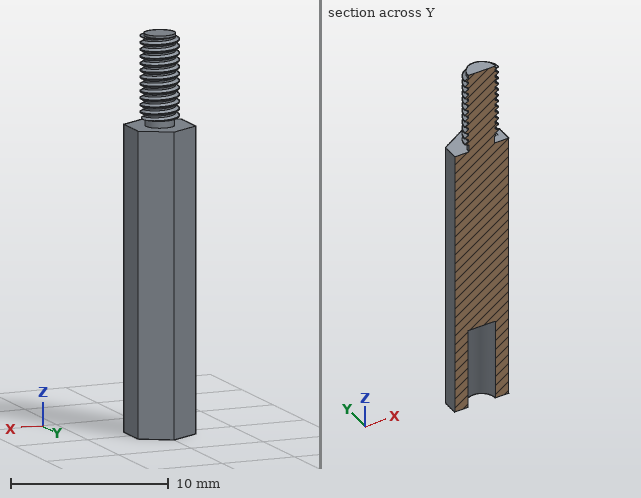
import cadquery as cq
import math

across_flats = 4.0
body_length = 20.0
hex_half_angle = 30.0

stud_length = 6.0
neck_diameter = 1.9
thread_root_diameter = 2.02
thread_crest_diameter = 2.5
thread_pitch = 0.45
thread_flank_angle = 30.0
thread_crest_width = thread_pitch / 8
neck_length = 0.5
thread_end_gap = 0.15
thread_length = stud_length - neck_length - thread_end_gap
thread_overlap = 0.1

bore_diameter = thread_root_diameter
bore_depth = stud_length


def make_body():
    """Hexagonal bar with two flats facing -X and +X."""
    across_corners = across_flats / math.cos(math.radians(hex_half_angle))
    return (
        cq.Workplane("XY")
        .transformed(rotate=(0, 0, hex_half_angle))
        .polygon(6, across_corners)
        .extrude(body_length)
    )


def make_stud_core():
    """Slim neck on the body with the thicker round core of the thread above it.

    A quarter turn moves the seam of the cylinders away from the ridge ends, where
    it would upset the union with the ridge.
    """
    neck = (
        cq.Workplane("XY")
        .workplane(offset=body_length)
        .transformed(rotate=(0, 0, 90))
        .circle(neck_diameter / 2)
        .extrude(neck_length)
    )
    return neck.faces(">Z").workplane().circle(thread_root_diameter / 2).extrude(stud_length - neck_length)


def make_thread_ridge():
    """Right-hand helical ridge, trimmed flat at both ends of the threaded length."""
    thread_start = body_length + neck_length
    inner_radius = thread_root_diameter / 2 - thread_overlap
    crest_radius = thread_crest_diameter / 2
    half_crest = thread_crest_width / 2
    half_base = half_crest + (crest_radius - inner_radius) * math.tan(math.radians(thread_flank_angle))
    helix_start = body_length
    helix_height = stud_length + thread_pitch

    helix = cq.Wire.makeHelix(
        thread_pitch, helix_height, inner_radius, center=cq.Vector(0, 0, helix_start)
    )
    ridge = (
        cq.Workplane("XZ")
        .moveTo(inner_radius, helix_start - half_base)
        .lineTo(crest_radius, helix_start - half_crest)
        .lineTo(crest_radius, helix_start + half_crest)
        .lineTo(inner_radius, helix_start + half_base)
        .close()
        .sweep(cq.Workplane(obj=helix), isFrenet=True)
    )
    trimming_envelope = (
        cq.Workplane("XY").workplane(offset=thread_start).circle(across_flats / 2).extrude(thread_length)
    )
    return ridge.intersect(trimming_envelope)


def make_bore():
    """Cylinder to remove from the bottom end of the body."""
    return cq.Workplane("XY").circle(bore_diameter / 2).extrude(bore_depth)


stud = make_stud_core().union(make_thread_ridge())
result = make_body().cut(make_bore()).union(stud)